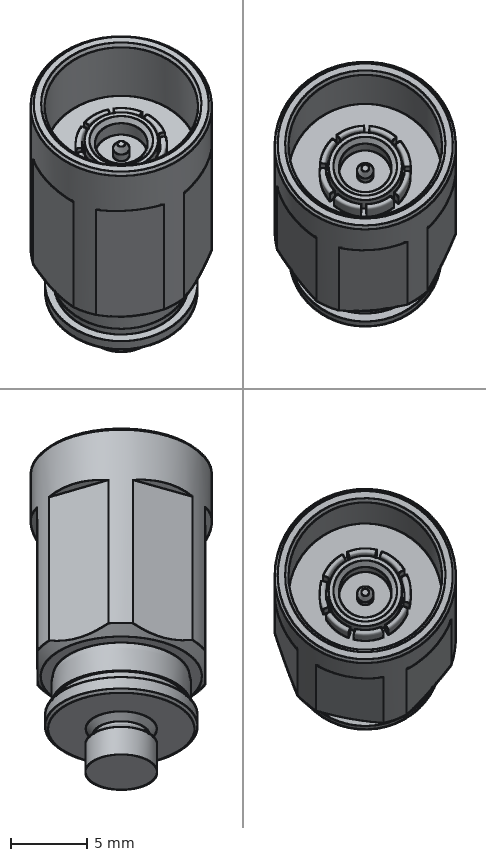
import cadquery as cq
import math

overall_height = 22.65
stem_top = 2.08
flange_bottom = 3.26
flange_top = 4.33
collar_bottom = 5.07
collar_top = 6.75
nut_bottom = 7.23
flat_top = 18.69
cup_floor = 17.45
tube_top = 18.91
finger_top = 18.73

nut_radius = 5.945
nut_bottom_chamfer = 0.65
nut_top_chamfer = 0.2
flat_count = 6
flat_distance = 5.5
shoulder_rise = 0.18
collar_radius = 4.58
collar_taper = 0.1
neck_radius = 4.45
flange_radius = 5.0
flange_chamfer = 0.2

stem_radius = 2.35
waist_radius = 1.85
waist_fillet = 0.3
waist_cone_radius = 2.33

cup_radius = 5.03
cup_chamfer = 0.23
tube_radius = 2.4
tube_bore_radius = 1.72
tube_chamfer_width = 0.36
tube_chamfer_depth = 0.3
finger_count = 8
finger_angle = 38.0
finger_inner_radius = 2.58
finger_outer_radius = 3.0
finger_fillet = 0.14
pin_radius = 0.55
pin_tip_radius = 0.25
pin_top = 18.57
pin_tip_length = 0.45


def revolved(points):
    """Full turn about Z of a closed outline given as (radius, height) points."""
    return cq.Workplane("XZ").polyline(points).close().revolve(360, (0, 0, 0), (0, 1, 0))


def make_stem():
    """Lower stem with a waist: 45 degree cone, tangent arc, short cylinder, 45 degree cone."""
    cone_angle = math.radians(45)
    arc_start_radius = waist_radius + waist_fillet * (1 - math.cos(cone_angle))
    arc_start = stem_top + stem_radius - arc_start_radius
    arc_end = arc_start + waist_fillet * math.sin(cone_angle)
    mid_radius = waist_radius + waist_fillet * (1 - math.cos(cone_angle / 2))
    mid_height = arc_end - waist_fillet * math.sin(cone_angle / 2)
    cone_bottom = flange_bottom - (waist_cone_radius - waist_radius)
    outline = (
        cq.Workplane("XZ")
        .moveTo(0, 0)
        .lineTo(stem_radius, 0)
        .lineTo(stem_radius, stem_top)
        .lineTo(arc_start_radius, arc_start)
        .threePointArc((mid_radius, mid_height), (waist_radius, arc_end))
        .lineTo(waist_radius, cone_bottom)
        .lineTo(waist_cone_radius, flange_bottom)
        .lineTo(0, flange_bottom)
        .close()
    )
    return outline.revolve(360, (0, 0, 0), (0, 1, 0))


def make_body():
    """Flange, neck, collar and nut as one solid of revolution, with the open cup at the top."""
    return revolved([
        (0, flange_bottom),
        (flange_radius - flange_chamfer, flange_bottom),
        (flange_radius, flange_bottom + flange_chamfer),
        (flange_radius, flange_top),
        (neck_radius, flange_top),
        (neck_radius, collar_bottom),
        (collar_radius, collar_bottom),
        (collar_radius, collar_top),
        (collar_radius - collar_taper, nut_bottom),
        (nut_radius - nut_bottom_chamfer, nut_bottom),
        (nut_radius, nut_bottom + nut_bottom_chamfer),
        (nut_radius, overall_height - nut_top_chamfer),
        (nut_radius - nut_top_chamfer, overall_height),
        (cup_radius + cup_chamfer, overall_height),
        (cup_radius, overall_height - cup_chamfer),
        (cup_radius, cup_floor),
        (0, cup_floor),
    ])


def make_flat_cutter():
    """Material removed beyond the wrench flat on the +X side, under a sloping shoulder."""
    reach = 2 * (nut_radius - flat_distance)
    slope = shoulder_rise / (nut_radius - flat_distance)
    outline = [
        (flat_distance, nut_bottom),
        (flat_distance + reach, nut_bottom),
        (flat_distance + reach, flat_top + reach * slope),
        (flat_distance, flat_top),
    ]
    return cq.Workplane("XZ").polyline(outline).close().extrude(nut_radius, both=True)


def make_tube():
    """Inner contact tube with a conical mouth."""
    return revolved([
        (tube_bore_radius, cup_floor),
        (tube_radius, cup_floor),
        (tube_radius, tube_top),
        (tube_bore_radius + tube_chamfer_width, tube_top),
        (tube_bore_radius, tube_top - tube_chamfer_depth),
    ])


def make_pin():
    """Centre pin with a tapered tip."""
    return revolved([
        (0, cup_floor),
        (pin_radius, cup_floor),
        (pin_radius, pin_top - pin_tip_length),
        (pin_tip_radius, pin_top),
        (0, pin_top),
    ])


def make_finger():
    """One spring finger around the tube, centred on +X, with rounded top edges."""
    finger = (
        cq.Workplane("XZ")
        .moveTo(finger_inner_radius, cup_floor)
        .lineTo(finger_outer_radius, cup_floor)
        .lineTo(finger_outer_radius, finger_top - finger_fillet)
        .radiusArc((finger_outer_radius - finger_fillet, finger_top), -finger_fillet)
        .lineTo(finger_inner_radius + finger_fillet, finger_top)
        .radiusArc((finger_inner_radius, finger_top - finger_fillet), -finger_fillet)
        .close()
        .revolve(finger_angle, (0, 0, 0), (0, 1, 0))
    )
    middle = finger.val().Center()
    return finger.rotate((0, 0, 0), (0, 0, 1), -math.degrees(math.atan2(middle.y, middle.x)))


def around_axis(shape, angle):
    """The shape turned about Z by an angle in degrees."""
    return shape.rotate((0, 0, 0), (0, 0, 1), angle)


result = make_body().union(make_stem())

flat_cutter = make_flat_cutter()
for i in range(flat_count):
    result = result.cut(around_axis(flat_cutter, 360 / flat_count * i - 90))

result = result.union(make_tube()).union(make_pin())
finger = make_finger()
for i in range(finger_count):
    result = result.union(around_axis(finger, 360 / finger_count * i))